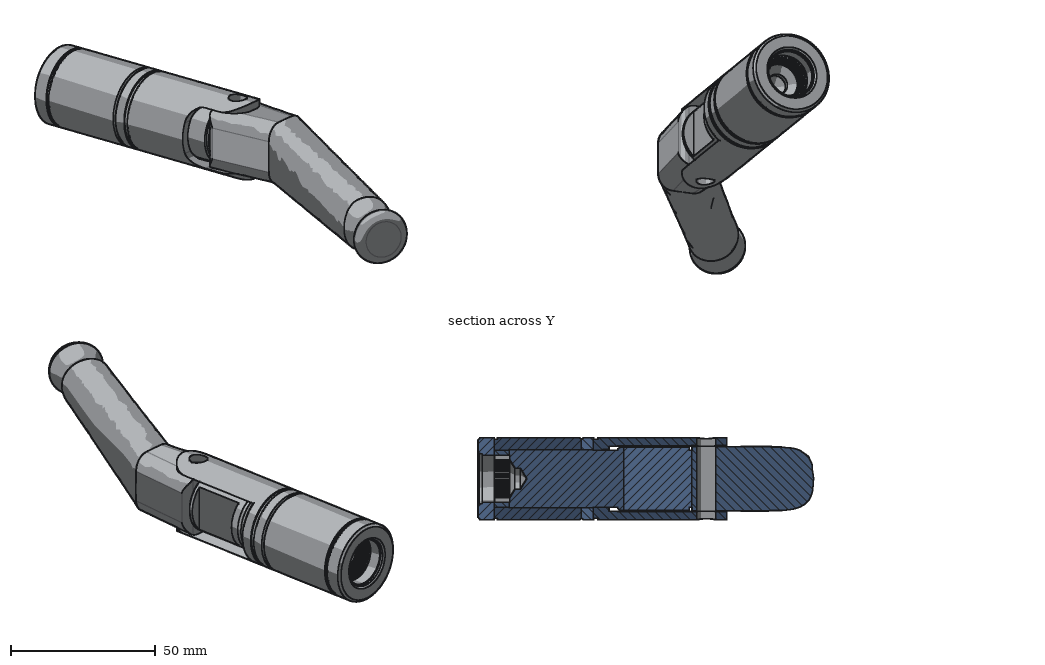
import cadquery as cq
import math

BARREL_DIA = 28.5
CAP_CHAMFER_LENGTH = 0.7
CAP_CHAMFER_DEPTH = 1.0
CAP_END = 5.7
SLEEVE_START = 6.8
SLEEVE_END = 35.8
COLLAR_END = 40.0
HOUSING_START = 41.5
GROOVE_DIA = 27.5
SEAM_CHAMFER = 0.5

MOUTH_DIA = 18.5
MOUTH_CHAMFER = 0.5
COUNTERBORE_DIA = 17.0
COUNTERBORE_DEPTH = 1.5
CAP_BORE_DIA = 16.2
BUSHING_START = CAP_END
BUSHING_END = 11
SPLINE_ROOT_DIA = CAP_BORE_DIA
SPLINE_TIP_DIA = 13.0
SPLINE_TEETH = 36
ROD_DIA = 20.0
ROD_START = BUSHING_END
ROD_FLANGE_START = 48.3
ROD_FLANGE_CHAMFER = 0.7
ROD_END = 50.5
SEAT_DIA = 13.0
SEAT_DEPTH = 1.8
DRILL_DIA = 7.2
DRILL_DEPTH = 1.8
DRILL_TIP = 2.2

SLIDER_BORE_DIA = 22.8
SLOT_WIDTH = 22.4
SLOT_HALF = SLOT_WIDTH / 2
BACK_SLOT_START = 45.4
FRONT_SLOT_START = 66.0
FRONT_SLOT_CORNER = 5.5
FORK_END = 86.1
CHEEK_HALF = math.sqrt((BARREL_DIA / 2) ** 2 - SLOT_HALF ** 2)
PIVOT_X = 79
PIVOT_DIA = 6.5

SLIDER_DIA = 22
SLIDER_START = ROD_END
SLIDER_END = 73.0
SLIDER_FLAT_START = 53.5
SLIDER_FLAT_END = 71.8
SLIDER_FLAT_Y = 7.3
SLIDER_TIP_DIA = 20.0

ARM_START = 74.0
ARM_ROOT_WIDTH = 22.8
ARM_ROOT_ROUND = 3.0
BEND_X = 99.9
BEND_WIDTH = 18.4
ARM_CORNER = 5.5
BEND_ANGLE = 30
BEND_SQUARENESS = 4
HANDLE_END_WIDTH = 17.8
ELLIPSE_EXPONENT = 2
SECTION_POINTS = 24

RIM_DIA = 19.5
WAIST_DIA = 15.5
WAIST_POS = 82.6
WAIST_HALF_LENGTH = 6.5
RIM_BAND = 0.5
TIP_POS = 92.4
TIP_DIA = 13.0


def along_x(start):
    """Workplane across the barrel axis; local x is +Y and local y is +Z."""
    return cq.Workplane("YZ", origin=(start, 0, 0))


def rod_between(start, end, dia):
    return along_x(start).circle(dia / 2).extrude(end - start)


def turned(points):
    """Solid of revolution about the X axis from (x, radius) points."""
    return cq.Workplane("XY").polyline(points).close().revolve(360, (0, 0, 0), (1, 0, 0))


def cap():
    body = rod_between(0, CAP_END, BARREL_DIA)
    body = body.faces("<X").chamfer(CAP_CHAMFER_LENGTH, CAP_CHAMFER_DEPTH)
    body = body.cut(rod_between(0, CAP_END, CAP_BORE_DIA))
    body = body.cut(rod_between(0, COUNTERBORE_DEPTH, COUNTERBORE_DIA))
    mouth = turned([
        (0, 0),
        (0, MOUTH_DIA / 2),
        (MOUTH_CHAMFER, COUNTERBORE_DIA / 2),
        (MOUTH_CHAMFER, 0),
    ])
    return body.cut(mouth)


def bushing():
    """Ring with straight teeth around its bore."""
    length = BUSHING_END - BUSHING_START
    space_width = math.pi * SPLINE_TIP_DIA / SPLINE_TEETH / 2
    spaces = (
        along_x(BUSHING_START)
        .polarArray(SPLINE_ROOT_DIA / 4, 0, 360, SPLINE_TEETH)
        .rect(SPLINE_ROOT_DIA / 2, space_width)
        .extrude(length)
    )
    bore = rod_between(BUSHING_START, BUSHING_END, SPLINE_TIP_DIA)
    return rod_between(BUSHING_START, BUSHING_END, ROD_DIA).cut(bore).cut(spaces)


def sleeve():
    body = rod_between(SLEEVE_START, SLEEVE_END, BARREL_DIA).faces(">X").edges().chamfer(SEAM_CHAMFER)
    spigot = rod_between(CAP_END, SLEEVE_START, GROOVE_DIA)
    return body.union(spigot).cut(rod_between(CAP_END, SLEEVE_END, ROD_DIA))


def collar():
    body = rod_between(SLEEVE_END, COLLAR_END, BARREL_DIA).faces("<X").edges().chamfer(SEAM_CHAMFER)
    return body.cut(rod_between(SLEEVE_END, COLLAR_END, ROD_DIA))


def rod():
    flange = rod_between(ROD_FLANGE_START, ROD_END, SLIDER_DIA).faces("<X").edges().chamfer(ROD_FLANGE_CHAMFER)
    seat_end = ROD_START + SEAT_DEPTH
    drill_end = seat_end + DRILL_DEPTH
    socket = turned([
        (ROD_START, 0),
        (ROD_START, SEAT_DIA / 2),
        (seat_end, DRILL_DIA / 2),
        (drill_end, DRILL_DIA / 2),
        (drill_end + DRILL_TIP, 0),
    ])
    return rod_between(ROD_START, ROD_END, ROD_DIA).union(flange).cut(socket)


def slot_side(start, side):
    """Half of the fork slot, open to the -Y side (-1) or the +Y side (+1)."""
    length = FORK_END - start
    slot = cq.Workplane("XY").box(length, BARREL_DIA, SLOT_WIDTH)
    return slot.translate((start + length / 2, side * BARREL_DIA / 2, 0))


def housing():
    body = rod_between(HOUSING_START, FORK_END, BARREL_DIA)
    body = body.union(rod_between(COLLAR_END, HOUSING_START, GROOVE_DIA))
    body = body.cut(rod_between(COLLAR_END, ROD_FLANGE_START, ROD_DIA))
    body = body.cut(rod_between(ROD_FLANGE_START, FORK_END, SLIDER_BORE_DIA))
    front_slot = slot_side(FRONT_SLOT_START, -1).edges("|Y and <X").fillet(FRONT_SLOT_CORNER)
    body = body.cut(front_slot).cut(slot_side(BACK_SLOT_START, 1))
    end_center = FORK_END - CHEEK_HALF
    fork_end = cq.Workplane("XY").box(CHEEK_HALF, BARREL_DIA, BARREL_DIA)
    fork_end = fork_end.translate((end_center + CHEEK_HALF / 2, 0, 0))
    fork_end = fork_end.cut(pivot_cylinder(end_center, 2 * CHEEK_HALF))
    return body.cut(fork_end).cut(pivot_cylinder(PIVOT_X, PIVOT_DIA))


def pivot_cylinder(x, dia):
    return cq.Workplane("XY").center(x, 0).circle(dia / 2).extrude(BARREL_DIA, both=True)


def slider():
    body = rod_between(SLIDER_START, SLIDER_END, SLIDER_DIA)
    flat_length = SLIDER_FLAT_END - SLIDER_FLAT_START
    flat = cq.Workplane("XY").box(flat_length, SLIDER_DIA, SLIDER_DIA)
    flat = flat.translate((SLIDER_FLAT_START + flat_length / 2, SLIDER_FLAT_Y + SLIDER_DIA / 2, 0))
    return body.cut(flat).union(rod_between(SLIDER_END, ARM_START, SLIDER_TIP_DIA))


def handle_plane(distance):
    """Plane across the handle axis at a distance from the bend; local x lies in the XY plane."""
    angle = math.radians(BEND_ANGLE)
    axis = (math.cos(angle), -math.sin(angle), 0)
    across = (math.sin(angle), math.cos(angle), 0)
    origin = (BEND_X + distance * axis[0], distance * axis[1], 0)
    return cq.Plane(origin=origin, xDir=across, normal=axis)


def rounded_section(x, width):
    outline = cq.Sketch().rect(width, SLOT_WIDTH).vertices().fillet(ARM_CORNER)
    return outline.moved(along_x(x).plane.location)


def superellipse(plane, width, height, exponent):
    """Closed smooth wire; a higher exponent gives squarer corners."""
    points = []
    for i in range(SECTION_POINTS):
        angle = 2 * math.pi * i / SECTION_POINTS
        across = abs(2 * math.cos(angle) / width) ** exponent
        upward = abs(2 * math.sin(angle) / height) ** exponent
        radius = (across + upward) ** (-1 / exponent)
        points.append((radius * math.cos(angle), radius * math.sin(angle)))
    return cq.Workplane(plane).spline(points, periodic=True).wire().val()


def root_corner():
    """Material outside the rounded +Y edge of the arm root."""
    round_end = ARM_START + ARM_ROOT_ROUND
    round_bottom = SLOT_HALF - ARM_ROOT_ROUND
    diagonal = ARM_ROOT_ROUND * math.sqrt(0.5)
    return (
        cq.Workplane("XY")
        .moveTo(ARM_START, round_bottom)
        .threePointArc((round_end - diagonal, round_bottom + diagonal), (round_end, SLOT_HALF))
        .lineTo(round_end, ARM_ROOT_WIDTH)
        .lineTo(ARM_START, ARM_ROOT_WIDTH)
        .close()
        .extrude(SLOT_WIDTH, both=True)
    )


def tongue():
    """Straight part of the arm that pivots in the fork."""
    root = rounded_section(ARM_START, ARM_ROOT_WIDTH)
    bend = rounded_section(BEND_X, BEND_WIDTH)
    body = cq.Workplane("XY").placeSketch(root, bend).loft(ruled=True)
    corner = root_corner()
    body = body.cut(corner).cut(corner.mirror("XZ"))
    return body.cut(pivot_cylinder(PIVOT_X, PIVOT_DIA))


def handle():
    bend = superellipse(along_x(BEND_X).plane, BEND_WIDTH, SLOT_WIDTH, BEND_SQUARENESS)
    end = superellipse(handle_plane(WAIST_POS), HANDLE_END_WIDTH, RIM_DIA, ELLIPSE_EXPONENT)
    shaft = cq.Workplane(cq.Solid.makeLoft([bend, end], True))
    return shaft.union(on_handle_axis(rim())).cut(on_handle_axis(waist_groove()))


def on_handle_axis(body):
    """Move a body from the X axis to the handle axis."""
    return body.rotate((0, 0, 0), (0, 0, 1), -BEND_ANGLE).translate((BEND_X, 0, 0))


def rim():
    """Round end of the handle, with a quarter-round outer edge."""
    rim_radius = RIM_DIA / 2
    tip_radius = TIP_DIA / 2
    rounding_start = WAIST_POS + WAIST_HALF_LENGTH + RIM_BAND
    diagonal = math.sqrt(0.5)
    rounding_mid = (
        rounding_start + (TIP_POS - rounding_start) * diagonal,
        tip_radius + (rim_radius - tip_radius) * diagonal,
    )
    return (
        cq.Workplane("XY")
        .moveTo(WAIST_POS, 0)
        .lineTo(WAIST_POS, rim_radius)
        .lineTo(rounding_start, rim_radius)
        .threePointArc(rounding_mid, (TIP_POS, tip_radius))
        .lineTo(TIP_POS, 0)
        .close()
        .revolve(360, (0, 0, 0), (1, 0, 0))
    )


def waist_groove():
    rim_radius = RIM_DIA / 2
    start = WAIST_POS - WAIST_HALF_LENGTH
    end = WAIST_POS + WAIST_HALF_LENGTH
    return (
        cq.Workplane("XY")
        .moveTo(start, RIM_DIA)
        .lineTo(start, rim_radius)
        .threePointArc((WAIST_POS, WAIST_DIA / 2), (end, rim_radius))
        .lineTo(end, RIM_DIA)
        .close()
        .revolve(360, (0, 0, 0), (1, 0, 0))
    )


def arm():
    return tongue().union(handle())


result = cq.Compound.makeCompound([
    cap().val(),
    bushing().val(),
    sleeve().val(),
    collar().val(),
    rod().val(),
    housing().val(),
    slider().val(),
    arm().val(),
])